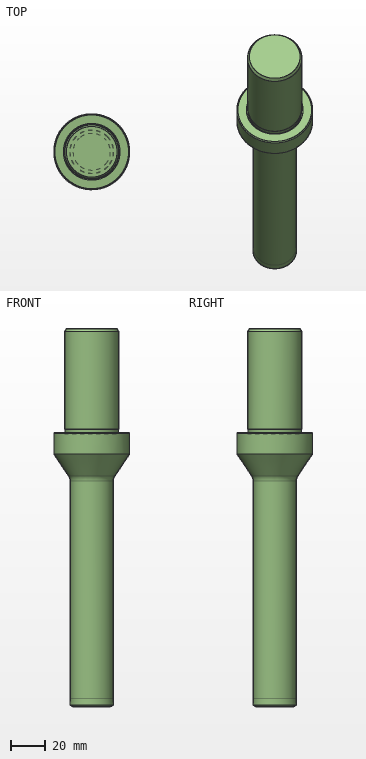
import cadquery as cq

overall_length = 221.6
collar_top = 161.0
collar_height = 12.6
cone_end = 135.2
rod_top = 132.3
lip_flare_top = 4.9

collar_radius = 22.27
cone_end_radius = 13.5
rod_radius = 12.6
lip_radius = 12.9
shank_radius = 16.0
neck_radius = 15.7

neck_top = 162.7
countersink_radius = 16.6
seat_depth = countersink_radius - neck_radius

collar_chamfer = 0.7
tip_chamfer_width = 2.0
tip_chamfer_height = 1.0
shank_chamfer_width = 1.0
shank_chamfer_height = 1.8


def make_rod():
    """Lower body: flanged rod with a conical transition below the collar."""
    collar_bottom = collar_top - collar_height
    blend_middle = ((rod_radius * 3 + cone_end_radius) / 4, (rod_top + cone_end) / 2)
    profile = (
        cq.Workplane("XZ")
        .moveTo(0, 0)
        .lineTo(lip_radius - tip_chamfer_width, 0)
        .lineTo(lip_radius, tip_chamfer_height)
        .lineTo(rod_radius, lip_flare_top)
        .lineTo(rod_radius, rod_top)
        .threePointArc(blend_middle, (cone_end_radius, cone_end))
        .lineTo(collar_radius, collar_bottom)
        .lineTo(collar_radius, collar_top - collar_chamfer)
        .lineTo(collar_radius - collar_chamfer, collar_top)
        .lineTo(countersink_radius, collar_top)
        .lineTo(neck_radius, collar_top - seat_depth)
        .lineTo(0, collar_top - seat_depth)
        .close()
    )
    return profile.revolve(360, (0, 0, 0), (0, 1, 0))


def make_shank():
    """Upper body: cylinder with a chamfered top and a relieved neck seated in the collar."""
    profile = (
        cq.Workplane("XZ")
        .moveTo(0, collar_top - seat_depth)
        .lineTo(neck_radius, collar_top - seat_depth)
        .lineTo(neck_radius, neck_top)
        .lineTo(shank_radius, neck_top + shank_radius - neck_radius)
        .lineTo(shank_radius, overall_length - shank_chamfer_height)
        .lineTo(shank_radius - shank_chamfer_width, overall_length)
        .lineTo(0, overall_length)
        .close()
    )
    return profile.revolve(360, (0, 0, 0), (0, 1, 0))


rod = make_rod()
shank = make_shank()
result = cq.Compound.makeCompound([rod.val(), shank.val()])